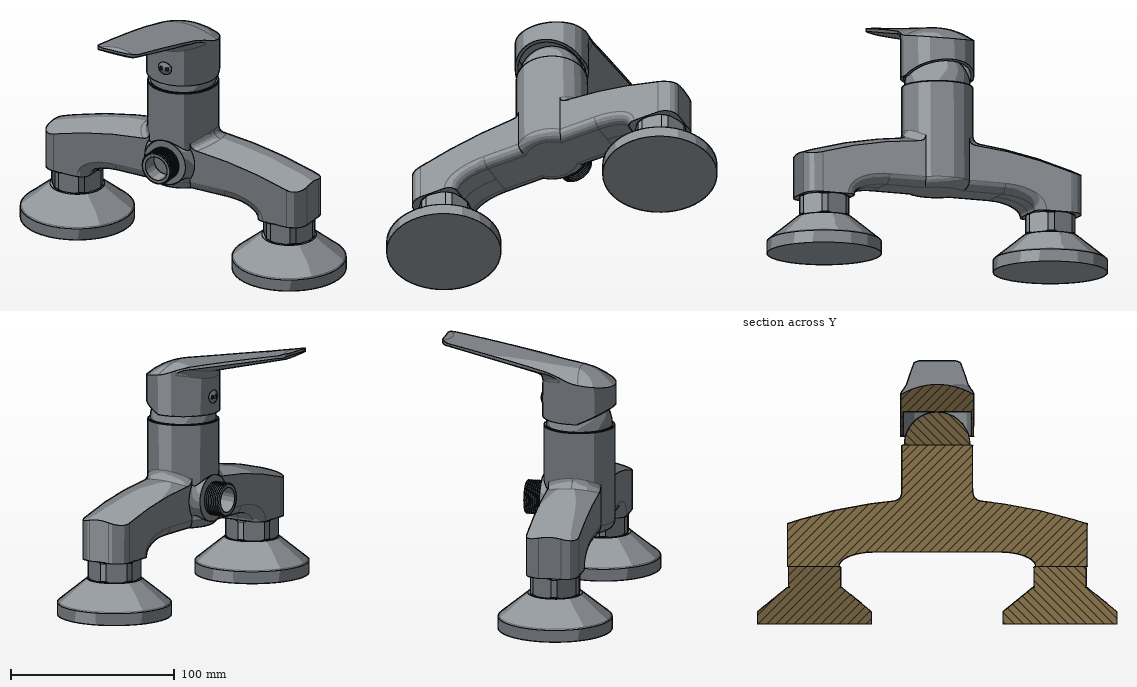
import cadquery as cq
import math

MARGIN = 1.0

INLET_X = 75.0
FLANGE_R = 110 - INLET_X
RIM_H = 7.5
RIM_BEVEL = 0.7
CONE_TOP_R = 16.7
FLANGE_H = 22.5
NUT_FLAT_R = 15.0
NUT_CORNER_R = 16.3
NUT_H = 12.8
NUT_CHAMFER = 0.9
NUT_TURN = 9
INLET_Z = FLANGE_H + NUT_H

ARM_END_X = 91.7
ARM_HALF_W = 16.3
ARM_END_R = 9.2
ARM_TOP_Z = 76.5
ARM_TOP_R = 286
ARM_CROWN = 4.2
BELLY_Z = 44
ARCH_FLAT_X = 38.5
ARCH_FOOT_X = 60.0
ARCH_EDGE_R = 5.7
COLUMN_R = 21.8
COLUMN_TOP_Z = 109.5
COLUMN_BOTTOM_R = 5.7
COLUMN_CHAMFER = 0.5
COLLAR_R = 5.3

OUTLET_Z = 62.0
BOSS_FACE_Y = -22.2
BOSS_R = 14.5
BOSS_FLARE = 3.0
BOSS_FLARE_LENGTH = 6.0
BOSS_COVE = 0.7
THREAD_R = 10.3
THREAD_DEPTH = 0.7
THREAD_PITCH = 1.3
THREAD_COUNT = 8
OUTLET_BORE_R = 7.7

DOME_R = 20.2

SKIRT_R = 22.5
SKIRT_Z = 114.8
SKIRT_BACK_Z = 123.0
SKIRT_SLOPE_Y = 3.0
CAVITY_GAP = 0.5
CAVITY_R = DOME_R + CAVITY_GAP
CAVITY_TOP_Z = COLUMN_TOP_Z + DOME_R
TIP_Y = -83.5
LEVER_TOP_Z = 146.7
LEVER_TIP_Z = 161.0
LEVER_CREST_TIP_Z = 162.0
LEVER_UNDER_Z = 136.0
LEVER_UNDER_TIP_Z = 157.0
LEVER_TOP_R = 37.5
LEVER_TIP_TOP_R = 79.2
LEVER_UNDER_R = 44
LEVER_SHOULDER_Y = -17.5
LEVER_SHOULDER_HALF_W = 19.0
LEVER_TIP_HALF_W = 13.9
LEVER_TIP_R = 6.5
LEVER_ROUND_Y = 1.0
TIP_BEVEL_Y = -76.8
TIP_BEVEL_Z = 155.3
TIP_EDGE_Z = 159.5
NECK_R = 5.5

BUTTON_Z = 125.5
BUTTON_R = 4.6
BUTTON_RISE = 1.3
MARK_SIZE = 1.8
MARK_X = 2.0
MARK_DEPTH = 1.0


def make_connector(x):
    flange = (
        cq.Workplane("XZ")
        .polyline([
            (0, 0),
            (FLANGE_R, 0),
            (FLANGE_R, RIM_H),
            (FLANGE_R - RIM_BEVEL, RIM_H + RIM_BEVEL),
            (CONE_TOP_R, FLANGE_H),
            (0, FLANGE_H),
        ])
        .close()
        .revolve(360, (0, 0), (0, 1))
    )
    hexagon = (
        cq.Workplane("XY", origin=(0, 0, FLANGE_H))
        .polygon(6, 2 * NUT_FLAT_R / math.cos(math.pi / 6))
        .extrude(NUT_H)
        .rotate((0, 0, 0), (0, 0, 1), NUT_TURN)
    )
    turned = (
        cq.Workplane("XY", origin=(0, 0, FLANGE_H))
        .circle(NUT_CORNER_R)
        .extrude(NUT_H)
        .faces("<Z or >Z")
        .chamfer(NUT_CHAMFER)
    )
    nut = hexagon.intersect(turned)
    return flange.union(nut).translate((x, 0, 0))


def make_arms():
    edge_z = ARM_TOP_Z - ARM_CROWN
    barrel = (
        cq.Workplane("YZ")
        .moveTo(-ARM_HALF_W, 0)
        .lineTo(-ARM_HALF_W, edge_z)
        .threePointArc((0, ARM_TOP_Z), (ARM_HALF_W, edge_z))
        .lineTo(ARM_HALF_W, 0)
        .close()
        .revolve(360, (0, ARM_TOP_Z - ARM_TOP_R), (1, ARM_TOP_Z - ARM_TOP_R))
    )
    plan = (
        cq.Workplane("XY", origin=(0, 0, INLET_Z))
        .rect(2 * ARM_END_X, 2 * ARM_HALF_W)
        .extrude(ARM_TOP_Z - INLET_Z)
        .edges("|Z")
        .fillet(ARM_END_R)
    )
    arch_length = ARCH_FOOT_X - ARCH_FLAT_X
    arch_height = BELLY_Z - INLET_Z
    arch = (
        cq.Workplane("XZ")
        .moveTo(-ARCH_FOOT_X, INLET_Z)
        .ellipseArc(arch_length, arch_height, 90, 180, startAtCurrent=True, sense=-1)
        .lineTo(ARCH_FLAT_X, BELLY_Z)
        .ellipseArc(arch_length, arch_height, 0, 90, startAtCurrent=True, sense=-1)
        .close()
        .extrude(ARM_HALF_W + MARGIN, both=True)
    )
    arms = barrel.intersect(plan).cut(arch)
    under = cq.selectors.BoxSelector(
        (-ARCH_FOOT_X, -ARM_HALF_W - MARGIN, INLET_Z + MARGIN),
        (ARCH_FOOT_X, ARM_HALF_W + MARGIN, BELLY_Z + MARGIN),
    )
    return arms.edges(under).edges("not |Y").fillet(ARCH_EDGE_R)


def make_column():
    return (
        cq.Workplane("XY", origin=(0, 0, BELLY_Z))
        .circle(COLUMN_R)
        .extrude(COLUMN_TOP_Z - BELLY_Z)
        .faces("<Z")
        .edges()
        .fillet(COLUMN_BOTTOM_R)
        .faces(">Z")
        .edges()
        .chamfer(COLUMN_CHAMFER)
    )


def make_outlet():
    """Boss with its flared root and the threaded nipple, revolved about the outlet axis."""
    flare_y = BOSS_FACE_Y + BOSS_FLARE_LENGTH
    profile = (
        cq.Workplane("XY")
        .moveTo(0, 0)
        .lineTo(BOSS_R + BOSS_FLARE, 0)
        .lineTo(BOSS_R + BOSS_FLARE, flare_y)
        .threePointArc(
            (BOSS_R + (1 - BOSS_COVE) * BOSS_FLARE, BOSS_FACE_Y + BOSS_COVE * BOSS_FLARE_LENGTH),
            (BOSS_R, BOSS_FACE_Y),
        )
        .lineTo(THREAD_R - THREAD_DEPTH, BOSS_FACE_Y)
    )
    for turn in range(THREAD_COUNT):
        root_y = BOSS_FACE_Y - turn * THREAD_PITCH
        profile = profile.lineTo(THREAD_R, root_y - THREAD_PITCH / 2)
        profile = profile.lineTo(THREAD_R - THREAD_DEPTH, root_y - THREAD_PITCH)
    end_y = BOSS_FACE_Y - THREAD_COUNT * THREAD_PITCH
    return (
        profile.lineTo(0, end_y)
        .close()
        .revolve(360, (0, 0), (0, 1))
        .translate((0, 0, OUTLET_Z))
    )


def make_housing():
    housing = make_arms().union(make_column())
    joint = cq.selectors.BoxSelector(
        (-COLUMN_R - MARGIN, -ARM_HALF_W - MARGIN, ARM_TOP_Z - ARM_CROWN - MARGIN),
        (COLUMN_R + MARGIN, ARM_HALF_W + MARGIN, ARM_TOP_Z + MARGIN),
    )
    housing = housing.edges(joint).edges("not |Z").fillet(COLLAR_R)
    bore = (
        cq.Workplane("XZ", origin=(0, BOSS_FACE_Y, OUTLET_Z))
        .circle(OUTLET_BORE_R)
        .extrude(THREAD_COUNT * THREAD_PITCH + MARGIN)
    )
    return housing.union(make_outlet()).cut(bore)


def make_dome():
    return cq.Workplane("XY", origin=(0, 0, COLUMN_TOP_Z)).sphere(DOME_R, angle1=0)


def lever_plan():
    """Outline of the handle from above: round back, tapered lever, rounded tip."""
    return (
        cq.Workplane("XY", origin=(0, 0, SKIRT_Z))
        .moveTo(SKIRT_R, 0)
        .threePointArc((0, SKIRT_R), (-SKIRT_R, 0))
        .lineTo(-LEVER_SHOULDER_HALF_W, LEVER_SHOULDER_Y)
        .lineTo(-LEVER_TIP_HALF_W, TIP_Y)
        .lineTo(LEVER_TIP_HALF_W, TIP_Y)
        .lineTo(LEVER_SHOULDER_HALF_W, LEVER_SHOULDER_Y)
        .close()
        .extrude(LEVER_TIP_Z - SKIRT_Z)
        .edges("|Z and <Y")
        .fillet(LEVER_TIP_R)
    )


def crest_rod(z_axis, z_tip, back_radius, tip_radius, side):
    """Rod along the lever: side 1 puts its crest, and side -1 its trough, on the line from axis to tip.

    It widens from the back radius to the tip radius, and a sphere tangent to that line at
    LEVER_ROUND_Y rounds its back end.
    """
    slope = math.atan2(z_tip - z_axis, -TIP_Y)
    length = (LEVER_ROUND_Y - TIP_Y) / math.cos(slope)
    widening = math.asin((tip_radius - back_radius) / length)
    axis_angle = slope - side * widening
    ball_radius = back_radius / math.cos(widening)
    crest = cq.Vector(0, LEVER_ROUND_Y, z_axis - math.tan(slope) * LEVER_ROUND_Y)
    crest_normal = cq.Vector(0, math.sin(slope), math.cos(slope)) * side
    axis_normal = cq.Vector(0, math.sin(axis_angle), math.cos(axis_angle)) * side
    direction = cq.Vector(0, -math.cos(axis_angle), math.sin(axis_angle))
    stretch = 1.5
    rod_length = stretch * length * math.cos(widening)
    end_radius = back_radius + stretch * (tip_radius - back_radius)
    start = crest - axis_normal * back_radius
    if tip_radius > back_radius:
        rod = cq.Solid.makeCone(back_radius, end_radius, rod_length, start, direction)
    else:
        rod = cq.Solid.makeCylinder(back_radius, rod_length, start, direction)
    ball = cq.Workplane("XY").sphere(ball_radius).translate(crest - crest_normal * ball_radius)
    return ball.union(cq.Workplane(rod))


def make_lever_under():
    """Space above the underside of the lever, bevelled at the tip."""
    rod = crest_rod(LEVER_UNDER_Z, LEVER_UNDER_TIP_Z, LEVER_UNDER_R, LEVER_UNDER_R, -1)
    bevel = (
        cq.Workplane("YZ")
        .polyline([
            (TIP_BEVEL_Y, TIP_BEVEL_Z),
            (TIP_Y, TIP_EDGE_Z),
            (TIP_Y, SKIRT_Z),
            (TIP_BEVEL_Y, SKIRT_Z),
        ])
        .close()
        .extrude(LEVER_SHOULDER_HALF_W, both=True)
    )
    return rod.cut(bevel)


def make_skirt_clearance():
    """Sloped cut under the back of the skirt and the cavity around the cartridge dome."""
    slope = (
        cq.Workplane("YZ")
        .polyline([(SKIRT_SLOPE_Y, SKIRT_Z), (SKIRT_R, SKIRT_Z), (SKIRT_R, SKIRT_BACK_Z)])
        .close()
        .extrude(SKIRT_R, both=True)
    )
    cavity = (
        cq.Workplane("XY", origin=(0, 0, SKIRT_Z))
        .circle(CAVITY_R)
        .extrude(CAVITY_TOP_Z - SKIRT_Z)
    )
    return slope.union(cavity)


def make_button():
    """Domed button with two square marks, facing -Y."""
    edge_y = -math.sqrt(SKIRT_R**2 - BUTTON_R**2)
    crest_y = -SKIRT_R - BUTTON_RISE
    dome_rise = edge_y - crest_y
    ball_radius = (BUTTON_R**2 + dome_rise**2) / (2 * dome_rise)
    mid_r = BUTTON_R / 2
    mid_y = crest_y + ball_radius - math.sqrt(ball_radius**2 - mid_r**2)
    button = (
        cq.Workplane("XY")
        .moveTo(0, -CAVITY_R)
        .lineTo(BUTTON_R, -CAVITY_R)
        .lineTo(BUTTON_R, edge_y)
        .threePointArc((mid_r, mid_y), (0, crest_y))
        .close()
        .revolve(360, (0, 0), (0, 1))
    )
    marks = (
        cq.Workplane("XZ", origin=(0, crest_y + MARK_DEPTH, 0))
        .pushPoints([(-MARK_X, 0), (MARK_X, 0)])
        .rect(MARK_SIZE, MARK_SIZE)
        .extrude(MARK_DEPTH)
    )
    return button.cut(marks).translate((0, 0, BUTTON_Z))


def make_handle():
    top = crest_rod(LEVER_TOP_Z, LEVER_CREST_TIP_Z, LEVER_TOP_R, LEVER_TIP_TOP_R, 1)
    lever = lever_plan().intersect(make_lever_under())
    skirt = cq.Workplane("XY", origin=(0, 0, SKIRT_Z)).circle(SKIRT_R).extrude(LEVER_TIP_Z - SKIRT_Z)
    neck = cq.selectors.BoxSelector(
        (-SKIRT_R / 2, -SKIRT_R, LEVER_UNDER_Z),
        (SKIRT_R / 2, -SKIRT_R / 2, LEVER_TOP_Z),
    )
    handle = lever.union(skirt).edges(neck).fillet(NECK_R).intersect(top)
    return handle.cut(make_skirt_clearance()).union(make_button())


housing = make_housing()
dome = make_dome()
handle = make_handle()
connectors = [make_connector(x) for x in (-INLET_X, INLET_X)]

result = cq.Compound.makeCompound(
    [housing.val(), dome.val(), handle.val()] + [connector.val() for connector in connectors]
)